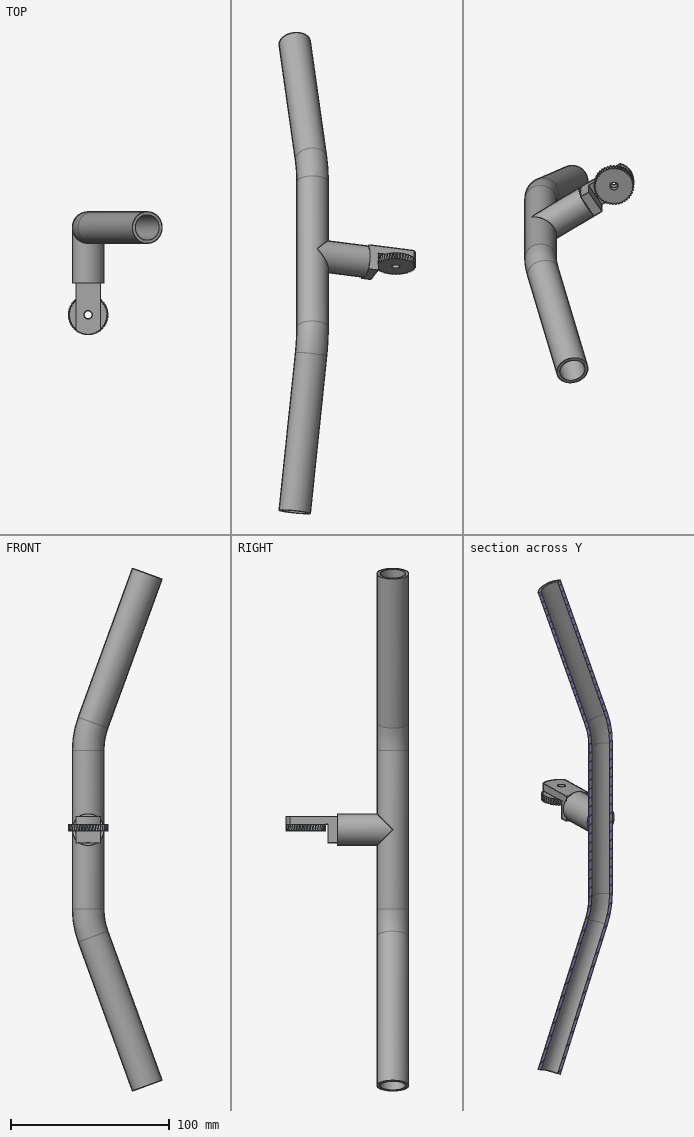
import math

import cadquery as cq

TUBE_RADIUS = 10.0
TUBE_WALL = 2.0
BORE_RADIUS = TUBE_RADIUS - TUBE_WALL

MIDDLE_HALF_LENGTH = 50.0
BEND_RADIUS = 51.0
BEND_ANGLE = 20.0
GRIP_LENGTH = 100.0

STEM_END_Y = -35.0

BRACKET_WIDTH = 15.6
BRACKET_HEIGHT = 16.6
BRACKET_TOP_Z = BRACKET_HEIGHT / 2
FOOT_THICKNESS = 6.0
ARM_THICKNESS = 5.0
ARM_BOTTOM_Z = BRACKET_TOP_Z - ARM_THICKNESS

WHEEL_Y = -55.0
WHEEL_RADIUS = 12.5
WHEEL_THICKNESS = 4.0
WHEEL_BOTTOM_Z = ARM_BOTTOM_Z - WHEEL_THICKNESS
TOOTH_COUNT = 40
TOOTH_DEPTH = 0.8
ROOT_RADIUS = WHEEL_RADIUS - TOOTH_DEPTH
TOOTH_TWIST = 180 / TOOTH_COUNT
PIVOT_HOLE_RADIUS = 2.5


def bar_path():
    """Centreline of the handlebar in the XZ plane, from the bottom end to the top end."""
    angle = math.radians(BEND_ANGLE)

    def on_bend(turn):
        return (
            BEND_RADIUS * (1 - math.cos(turn)),
            MIDDLE_HALF_LENGTH + BEND_RADIUS * math.sin(turn),
        )

    bend_mid = on_bend(angle / 2)
    bend_end = on_bend(angle)
    grip_end = (
        bend_end[0] + GRIP_LENGTH * math.sin(angle),
        bend_end[1] + GRIP_LENGTH * math.cos(angle),
    )

    def below(point):
        return (point[0], -point[1])

    return (
        cq.Workplane("XZ")
        .moveTo(*below(grip_end))
        .lineTo(*below(bend_end))
        .threePointArc(below(bend_mid), (0, -MIDDLE_HALF_LENGTH))
        .lineTo(0, MIDDLE_HALF_LENGTH)
        .threePointArc(bend_mid, bend_end)
        .lineTo(*grip_end)
        .wire()
    )


def bar_rod(radius):
    """Solid rod of the given radius along the handlebar centreline."""
    path = bar_path()
    centreline = path.val()
    plane = cq.Plane(
        origin=centreline.startPoint().toTuple(),
        xDir=(0, 1, 0),
        normal=centreline.tangentAt(0).toTuple(),
    )
    return cq.Workplane(plane).circle(radius).sweep(path)


def make_handlebar():
    """Bent tube of constant wall, open at both ends."""
    return bar_rod(TUBE_RADIUS).cut(bar_rod(BORE_RADIUS))


def make_stem():
    """Tube of the handlebar's diameter, its root cut to sit against the handlebar."""
    tube = cq.Workplane("XZ").circle(TUBE_RADIUS).circle(BORE_RADIUS).extrude(-STEM_END_Y)
    handlebar_clearance = cq.Workplane("XY").circle(TUBE_RADIUS).extrude(MIDDLE_HALF_LENGTH, both=True)
    return tube.cut(handlebar_clearance)


def pivot_bore():
    """Cylinder of the pivot hole, running through the wheel and the bracket arm."""
    return (
        cq.Workplane("XY", origin=(0, WHEEL_Y, WHEEL_BOTTOM_Z))
        .circle(PIVOT_HOLE_RADIUS)
        .extrude(BRACKET_TOP_Z - WHEEL_BOTTOM_Z)
    )


def make_bracket():
    """Foot against the stem end with an arm along its top, rounded concentric with the wheel."""
    half_width = BRACKET_WIDTH / 2
    corner_y = WHEEL_Y - math.sqrt(WHEEL_RADIUS**2 - half_width**2)
    arm = (
        cq.Workplane("XY", origin=(0, 0, ARM_BOTTOM_Z))
        .moveTo(-half_width, STEM_END_Y)
        .lineTo(-half_width, corner_y)
        .threePointArc((0, WHEEL_Y - WHEEL_RADIUS), (half_width, corner_y))
        .lineTo(half_width, STEM_END_Y)
        .close()
        .extrude(ARM_THICKNESS)
    )
    foot = (
        cq.Workplane("XZ", origin=(0, STEM_END_Y, 0))
        .rect(BRACKET_WIDTH, BRACKET_HEIGHT)
        .extrude(FOOT_THICKNESS)
    )
    return foot.union(arm).cut(pivot_bore())


def make_wheel():
    """Flat wheel with slightly helical pointed teeth round its rim and the pivot hole through it."""
    half_pitch = math.pi / TOOTH_COUNT
    rim = []
    for tooth in range(TOOTH_COUNT):
        tip_angle = 2 * tooth * half_pitch
        for radius, angle in ((WHEEL_RADIUS, tip_angle), (ROOT_RADIUS, tip_angle + half_pitch)):
            rim.append((radius * math.cos(angle), radius * math.sin(angle)))
    blank = (
        cq.Workplane("XY", origin=(0, WHEEL_Y, WHEEL_BOTTOM_Z))
        .polyline(rim)
        .close()
        .twistExtrude(WHEEL_THICKNESS, TOOTH_TWIST)
    )
    return blank.cut(pivot_bore())


handlebar = make_handlebar()
stem = make_stem()
bracket = make_bracket()
wheel = make_wheel()

result = cq.Compound.makeCompound([handlebar.val(), stem.val(), bracket.val(), wheel.val()])